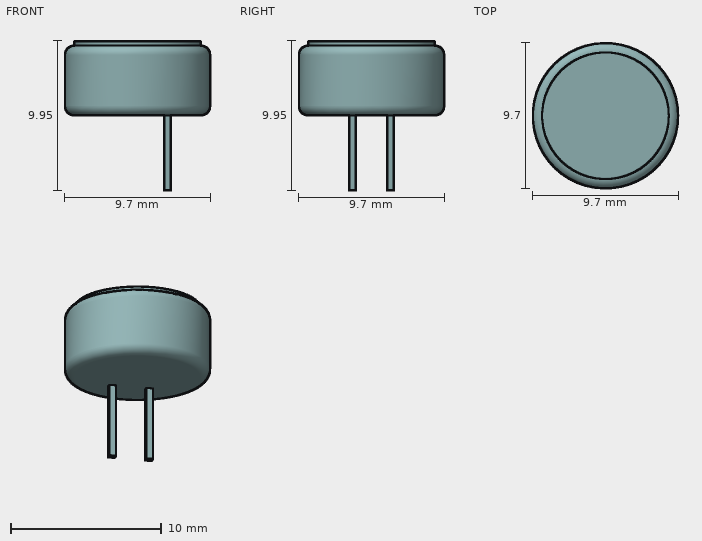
import cadquery as cq

body_diameter = 9.7
cap_diameter = 8.45
total_height = 9.95
pin_length = 4.99
cap_height = 0.3
cap_edge_radius = 0.1
pin_width = 0.45
pin_offset_x = 2.0
pin_pitch = 2.54
pin_embed = 0.2

body_edge_radius = (body_diameter - cap_diameter) / 2
body_height = total_height - pin_length - cap_height


def make_can():
    """Round body with rounded rims and a flat, slightly smaller cap on top."""
    body = (
        cq.Workplane("XY", origin=(0, 0, pin_length))
        .circle(body_diameter / 2)
        .extrude(body_height)
        .edges()
        .fillet(body_edge_radius)
    )
    cap = (
        cq.Workplane("XY", origin=(0, 0, pin_length + body_height))
        .circle(cap_diameter / 2)
        .extrude(cap_height)
        .faces(">Z")
        .edges()
        .fillet(cap_edge_radius)
    )
    return body.union(cap)


def make_pins():
    """Two square pins side by side along Y, off centre in X."""
    return (
        cq.Workplane("XY")
        .pushPoints([(pin_offset_x, side * pin_pitch / 2) for side in (-1, 1)])
        .rect(pin_width, pin_width)
        .extrude(pin_length + pin_embed)
    )


result = make_can().union(make_pins())